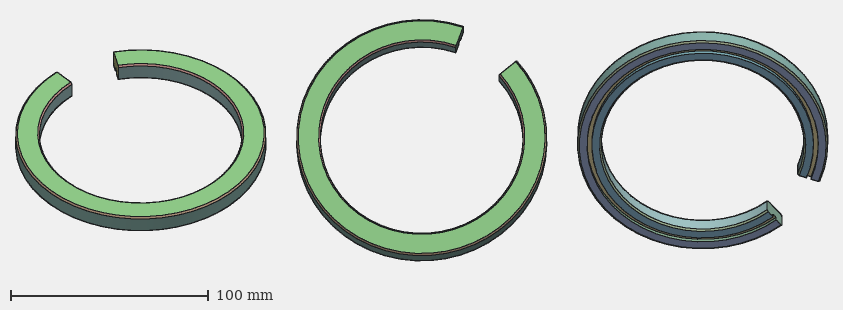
import cadquery as cq
import math

outer_radius = 63.2
inner_radius = 51.2
overall_height = 10.1
tilt_angle = 0.16
edge_chamfer = 0.9
gap_angle = 30.0
groove_width = 2.4
groove_depth = 2.3
middle_radius = (outer_radius + inner_radius) / 2
sweep_angle = 360.0 - gap_angle

tilt = math.radians(tilt_angle)
face_radius = outer_radius - edge_chamfer
height = (overall_height - 2 * face_radius * math.sin(tilt)) / math.cos(tilt)


def ring_section():
    """Cross-section of the ring wall with all four corners chamfered."""
    return (
        cq.Sketch()
        .push([(middle_radius, height / 2)])
        .rect(outer_radius - inner_radius, height)
        .reset()
        .vertices()
        .chamfer(edge_chamfer)
    )


def groove_section():
    """Cross-section of the groove that runs along the underside."""
    return cq.Sketch().push([(middle_radius, groove_depth / 2)]).rect(groove_width, groove_depth)


def sweep_open_ring(section):
    """Revolve a section from the -X end face counterclockwise to the other end face."""
    swept = cq.Workplane("XZ").placeSketch(section).revolve(sweep_angle, (0, 0, 0), (0, 1, 0))
    return swept.rotate((0, 0, 0), (0, 0, 1), 180.0)


flat_ring = sweep_open_ring(ring_section()).cut(sweep_open_ring(groove_section()))
result = flat_ring.rotate((0, 0, 0), (1, 0, 0), tilt_angle)